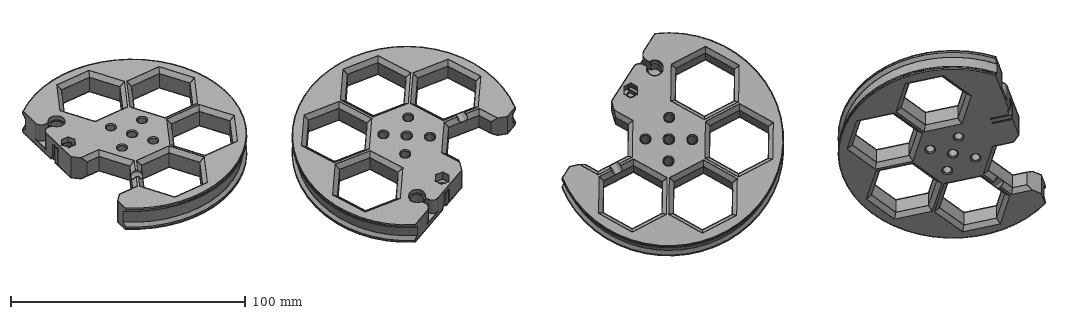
import cadquery as cq
import math

thickness = 12.0
disc_radius = 49.0
flat_y = -30.0
top_z = thickness
cut_margin = 1.0

rim_bevel_width = 0.3
rim_bevel_height = 0.6
groove_mouth_z = 1.6
groove_floor_z = 2.9
groove_depth = 1.6

hex_pitch = 30.0
hex_flats = 25.1
hex_chamfer = 2.0
open_window_angle = 300
window_angles = (0, 60, 120, 180, open_window_angle)
mouth_bevel = 5.0

center_hole_dia = 3.9
bolt_hole_dia = 3.7
bolt_circle_radius = 10.0
bolt_angles = (30, 120, 210, 300)
hole_chamfer = 0.5

notch_angle = -30
notch_width = 4.1
notch_depth = hex_chamfer
notch_fillet = 0.9
notch_length = 7.8

keyhole_x = -25.0
keyhole_y = -21.9
keyhole_depth = 9.1
keyhole_dia = 5.8
keyhole_rim_dia = 7.2
keyhole_rim_depth = 2.4
neck_width = 2.45
neck_flare_radius = 3.0

nut_x = -10.9
nut_y = -25.5
nut_flats = 5.8
nut_depth = 5.0
screw_dia = 3.1
screw_depth = 2.0

leaf_left_x = -14.6
leaf_width = 2.0
leaf_gap = 0.6
leaf_top_gap = 0.3
slot_height = 9.3
slot_length = 9.0
slot_corner_radius = 1.0
entry_width = 1.8
entry_length = 0.8
entry_flare_radius = 7.3
entry_flare_width = 1.2


def polar(radius, degrees):
    """Point at the given radius and angle about the disc centre."""
    angle = math.radians(degrees)
    return radius * math.cos(angle), radius * math.sin(angle)


def across_corners(flats):
    """Corner-to-corner size of a hexagon from its size across flats."""
    return flats / math.cos(math.radians(30))


def hex_prism(flats, height):
    """Hexagonal prism on the XY plane with two flats facing +X and -X."""
    prism = cq.Workplane("XY").polygon(6, across_corners(flats)).extrude(height)
    return prism.rotate((0, 0, 0), (0, 0, 1), 30)


def make_disc():
    """Revolve the rim profile and cut the front flat."""
    face_radius = disc_radius - rim_bevel_width
    floor_radius = disc_radius - groove_depth
    half_disc = (
        cq.Workplane("XZ")
        .moveTo(0, 0)
        .lineTo(face_radius, 0)
        .lineTo(disc_radius, rim_bevel_height)
        .lineTo(disc_radius, groove_mouth_z)
        .lineTo(floor_radius, groove_floor_z)
        .lineTo(floor_radius, top_z - groove_floor_z)
        .lineTo(disc_radius, top_z - groove_mouth_z)
        .lineTo(disc_radius, top_z - rim_bevel_height)
        .lineTo(face_radius, top_z)
        .lineTo(0, top_z)
        .close()
    )
    disc = half_disc.revolve(360, (0, 0, 0), (0, 1, 0))
    front = cq.Workplane("XY").box(
        2 * disc_radius, disc_radius, thickness, centered=(True, False, False)
    )
    return disc.cut(front.translate((0, flat_y - disc_radius, 0)))


def window_cutter():
    """Hexagonal window whose edges are chamfered at both faces."""
    face_flats = hex_flats + 2 * hex_chamfer
    funnel = (
        cq.Workplane("XY")
        .polygon(6, across_corners(face_flats))
        .workplane(offset=hex_chamfer)
        .polygon(6, across_corners(hex_flats))
        .loft(ruled=True)
        .rotate((0, 0, 0), (0, 0, 1), 30)
    )
    upper_funnel = funnel.mirror("XY", (0, 0, thickness / 2))
    return hex_prism(hex_flats, thickness).union(funnel).union(upper_funnel)


def mouth_cutter():
    """Trapezoid that bevels the open window's mouth at the front flat."""
    center_x = polar(hex_pitch, open_window_angle)[0]
    inner = hex_flats / 2
    outer = inner + mouth_bevel
    outline = [
        (center_x - outer, flat_y),
        (center_x + outer, flat_y),
        (center_x + inner, flat_y + mouth_bevel),
        (center_x - inner, flat_y + mouth_bevel),
    ]
    return cq.Workplane("XY").polyline(outline).close().extrude(thickness)


def chamfered_hole(x, y, diameter):
    """Through hole with a small chamfer at both faces."""
    radius = diameter / 2
    wide = radius + hole_chamfer
    profile = [
        (0, 0),
        (wide, 0),
        (radius, hole_chamfer),
        (radius, top_z - hole_chamfer),
        (wide, top_z),
        (0, top_z),
    ]
    hole = cq.Workplane("XZ").polyline(profile).close().revolve(360, (0, 0, 0), (0, 1, 0))
    return hole.translate((x, y, 0))


def notch_cutter():
    """Pair of round-cornered channels across the web, one in each face."""
    channel_height = notch_depth + cut_margin
    channel = (
        cq.Workplane("XY")
        .box(notch_width, notch_length, channel_height, centered=(True, True, False))
        .edges("|Y and <Z")
        .fillet(notch_fillet)
        .rotate((0, 0, 0), (0, 0, 1), notch_angle)
    )
    web_radius = hex_pitch * math.cos(math.radians(30))
    x, y = polar(web_radius, notch_angle)
    upper = channel.translate((x, y, top_z - notch_depth))
    return upper.union(upper.mirror("XY", (0, 0, thickness / 2)))


def keyhole_cutter():
    """Stepped round pocket with a neck that flares out to the front flat."""
    floor_z = top_z - keyhole_depth
    half_neck = neck_width / 2
    half_mouth = half_neck + neck_flare_radius
    flare_y = flat_y + neck_flare_radius
    bend = neck_flare_radius * (1 - math.cos(math.radians(45)))
    neck = (
        cq.Workplane("XY", origin=(keyhole_x, 0, floor_z))
        .moveTo(-half_mouth, flat_y)
        .threePointArc((-half_neck - bend, flat_y + bend), (-half_neck, flare_y))
        .lineTo(-half_neck, keyhole_y)
        .lineTo(half_neck, keyhole_y)
        .lineTo(half_neck, flare_y)
        .threePointArc((half_neck + bend, flat_y + bend), (half_mouth, flat_y))
        .close()
        .extrude(keyhole_depth)
    )
    axis = cq.Workplane("XY", origin=(keyhole_x, keyhole_y, floor_z))
    pocket = axis.circle(keyhole_dia / 2).extrude(keyhole_depth)
    rim = (
        axis.workplane(offset=keyhole_depth - keyhole_rim_depth)
        .circle(keyhole_rim_dia / 2)
        .extrude(keyhole_rim_depth)
    )
    return neck.union(pocket).union(rim)


def nut_cutter():
    """Hexagonal nut pocket with a blind screw hole in its floor."""
    floor_z = top_z - nut_depth
    pocket = hex_prism(nut_flats, nut_depth).translate((nut_x, nut_y, floor_z))
    screw = (
        cq.Workplane("XY", origin=(nut_x, nut_y, floor_z - screw_depth))
        .circle(screw_dia / 2)
        .extrude(screw_depth)
    )
    return pocket.union(screw)


def front_block(left_x, right_x, height, length):
    """Block standing on the bottom face that runs back from the front flat."""
    block = cq.Workplane("XY").box(right_x - left_x, length, height, centered=False)
    return block.translate((left_x, flat_y, 0))


def clip_cutter():
    """Slot around the spring leaf, with a wider flared mouth beside it."""
    leaf_right_x = leaf_left_x + leaf_width
    slot_right_x = leaf_right_x + leaf_gap
    slot = front_block(leaf_left_x - leaf_gap, slot_right_x, slot_height, slot_length)
    slot = slot.edges("|Y and >Z and >X").fillet(slot_corner_radius)

    entry_left_x = leaf_left_x - entry_width
    entry = front_block(entry_left_x, slot_right_x, slot_height, entry_length)
    entry = entry.edges("|Y and >Z").fillet(slot_corner_radius)
    swept = math.acos(1 - entry_flare_width / entry_flare_radius)
    mid_height = entry_flare_radius * (math.sin(swept) - math.sin(swept / 2))
    mid_spread = entry_flare_radius * (1 - math.cos(swept / 2))
    flare = (
        cq.Workplane("XZ", origin=(entry_left_x, flat_y, 0))
        .moveTo(0, 0)
        .lineTo(-entry_flare_width, 0)
        .threePointArc((-mid_spread, mid_height), (0, entry_flare_radius * math.sin(swept)))
        .close()
        .extrude(-entry_length)
    )
    gap = slot.union(entry)
    leaf = front_block(leaf_left_x, leaf_right_x, slot_height - leaf_top_gap, slot_length)
    return gap.union(flare).cut(leaf)


result = make_disc()

window = window_cutter()
for window_angle in window_angles:
    window_x, window_y = polar(hex_pitch, window_angle)
    result = result.cut(window.translate((window_x, window_y, 0)))
result = result.cut(mouth_cutter())

result = result.cut(chamfered_hole(0, 0, center_hole_dia))
for bolt_angle in bolt_angles:
    bolt_x, bolt_y = polar(bolt_circle_radius, bolt_angle)
    result = result.cut(chamfered_hole(bolt_x, bolt_y, bolt_hole_dia))

result = result.cut(notch_cutter())
result = result.cut(keyhole_cutter())
result = result.cut(nut_cutter())
result = result.cut(clip_cutter())